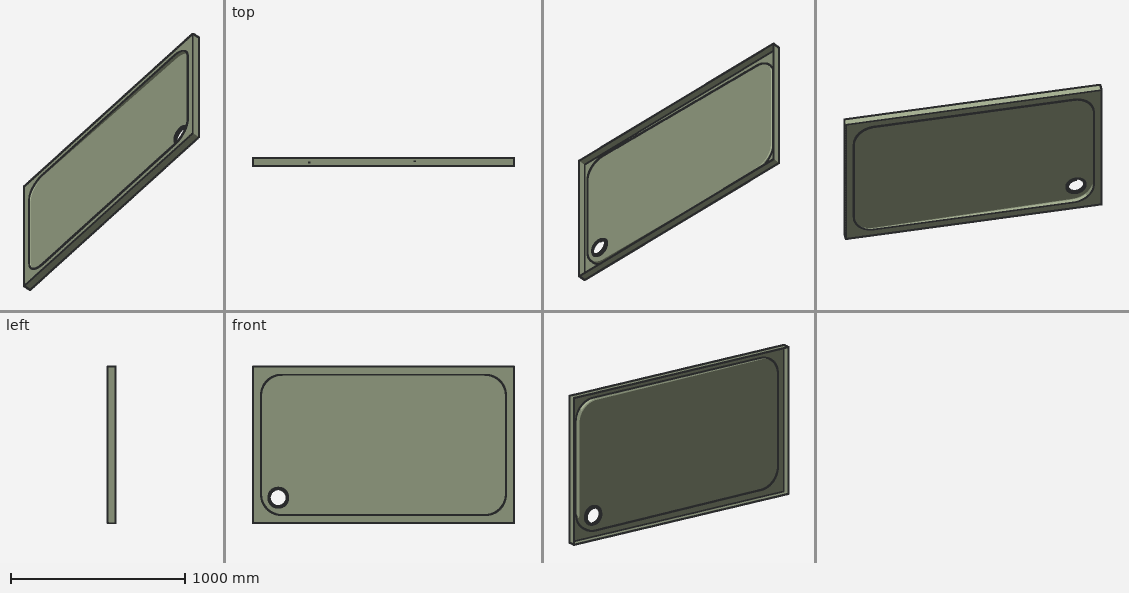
import cadquery as cq

length = 1500.0
depth = 48.0
height = 900.0

sheet = 3.0
outer_radius = 4.5
inner_radius = outer_radius - sheet
back_edge_radius = 4.4

basin_margin = 46.3
basin_corner_radius = 120.0
basin_edge_radius = 8.0
basin_depth_left = 30.0
basin_depth_right = 10.0

drain_x = -604.0
drain_z = -303.0
drain_hole_diameter = 95.0
cup_base_diameter = 117.0
cup_top_diameter = 106.0
cup_height = 10.0

back_y = depth / 2
panel_y = back_y - sheet

basin_half_length = length / 2 - basin_margin
floor_gradient = (basin_depth_left - basin_depth_right) / (2 * basin_half_length)
mean_basin_depth = (basin_depth_left + basin_depth_right) / 2
drain_floor_y = panel_y - mean_basin_depth + floor_gradient * drain_x


def rounded_prism(back, run, margin, radius):
    """Prism reaching forward from the back station, with rounded corners seen along Y."""
    outline = cq.Sketch().rect(length - 2 * margin, height - 2 * margin)
    outline = outline.vertices().fillet(radius)
    return cq.Workplane("XZ", origin=(0, back, 0)).placeSketch(outline).extrude(run)


def make_pan():
    """Panel and skirt of even thickness, open at the front."""
    body = rounded_prism(back_y, depth, 0.0, outer_radius)
    body = body.faces(">Y").edges().fillet(back_edge_radius)
    cavity = rounded_prism(panel_y, depth - sheet, sheet, inner_radius)
    return body.cut(cavity)


def basin_form(start_y, inset):
    """Straight-sided form with a sloping, round-edged floor, set in from the basin wall."""
    prism = rounded_prism(start_y, depth, basin_margin + inset, basin_corner_radius - inset)
    half_length = length / 2
    mean_floor_y = start_y - mean_basin_depth
    half_rise = floor_gradient * half_length
    wedge_outline = [
        (-half_length, start_y),
        (half_length, start_y),
        (half_length, mean_floor_y + half_rise),
        (-half_length, mean_floor_y - half_rise),
    ]
    wedge = cq.Workplane("XY").polyline(wedge_outline).close().extrude(height / 2, both=True)
    form = prism.intersect(wedge)
    return form.faces("<Y").edges().fillet(basin_edge_radius - inset)


def add_basin(pan):
    """Raise the basin on the front of the panel and hollow it from the back."""
    return pan.union(basin_form(panel_y, 0.0)).cut(basin_form(back_y, sheet))


def floor_frame(centre_y):
    """Plane parallel to the basin floor at the drain, with its normal facing forward."""
    along_floor = (1, -floor_gradient, 0)
    floor_normal = (-floor_gradient, -1, 0)
    return cq.Plane((drain_x, centre_y, drain_z), along_floor, floor_normal)


def drain_form(centre_y, inset):
    """Cone frustum standing square on the sloping floor, set in from the cup wall."""
    base_radius = cup_base_diameter / 2 - inset
    top_radius = cup_top_diameter / 2 - inset
    return (
        cq.Workplane(floor_frame(centre_y))
        .circle(base_radius)
        .workplane(offset=cup_height)
        .circle(top_radius)
        .loft()
    )


def add_drain(pan):
    """Press the drain cup forward out of the floor and bore the drain hole through it."""
    cup = drain_form(drain_floor_y, 0.0)
    hollow = drain_form(drain_floor_y + sheet, sheet)
    bore = cq.Workplane(floor_frame(drain_floor_y)).circle(drain_hole_diameter / 2)
    return pan.union(cup).cut(hollow).cut(bore.extrude(depth, both=True))


result = add_drain(add_basin(make_pan()))